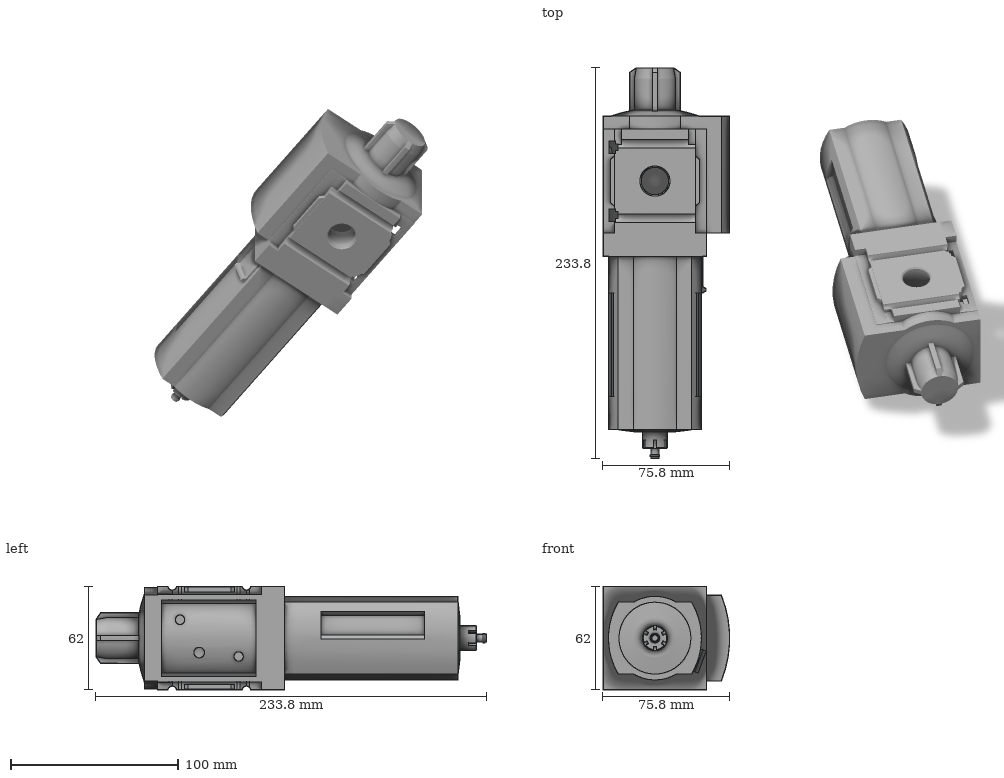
import cadquery as cq
import math


overall_length = 233.8
overall_width = 75.8

body_width = 62.0
half_body = body_width / 2
back_y = 84.0
shoulder_y = 76.2
frame_y = 14.0
frame_height = 26.2
plate_height = 25.7
block_half_width = 24.3
cover_edge_x = 39.7
cover_crown_x = overall_width - half_body

hump_half_width = 15.2
hump_crown_height = 30.5

port_y = 45.1
port_diameter = 16.4
port_rim_diameter = 18.0
port_rim_depth = 0.82
port_depth = 18.7

groove_radius = 2.5
groove_center_height = 31.3
groove_offset = 22.2
notch_inner_x = 20.0
notch_floor = 26.5
notch_front_y = 67.0

rib_height = 2.8
rib_drop = 0.5
rib_projection = 2.3
rib_half_length = 15.0
rib_taper = 2.0

clip_offset = 20.3
clip_width = 7.5
clip_outer_x = 27.4
clip_inner_x = 23.5
neck_width = 4.0
neck_inner_x = 22.0

window_half_height = 23.0
window_front_y = 17.0
window_rear_y = 73.6
core_radius = 29.2
core_edge_height = 20.8
core_bevel_run = 0.5
pin_diameter = 5.5
pin_end_x = -29.5
pin_length = 5.4
pin_height = 11.0
pin_offset = 17.5
core_hole_diameter = 6.3
core_hole_y = 51.2
core_hole_z = -8.7
core_hole_floor_x = -26.7

dome_apex_y = 88.5
dome_rim_radius = 26.7
dome_rise = dome_apex_y - back_y
dome_radius = (dome_rim_radius**2 + dome_rise**2) / (2 * dome_rise)
knob_radius = 12.5
knob_tip_radius = 11.2
knob_taper_y = 106.4
knob_end_y = 113.0
ridge_radius = 15.2
ridge_width = 3.0
ridge_chamfer_y = 110.1

bowl_end_y = -103.5
bowl_half_width = 27.8
bowl_flat_height = 21.5
bowl_corner_x = 22.0
bowl_crown_height = 25.0
bowl_crown_x = math.sqrt(bowl_crown_height**2 - bowl_flat_height**2)

sight_front_y = -83.7
sight_rear_y = -21.7
sight_floor_radius = 23.8
sight_top = 16.0
sight_bottom = -0.5
sight_wall_rise = 2.3
sight_ledge_x = -26.0

lever_top = (27.4, -6.5)
lever_tilt = 20
lever_height = 14.0
lever_root = 1.2
lever_thickness = 1.5
lever_end_y = -21.7
nub_start_y = -18.0
nub_thickness = 3.5
nub_slope_length = 1.2

cone_base_radius = 21.5
cone_tip_radius = 11.7
cone_base_y = -103.8
cone_tip_y = -105.0
boss_diameter = 15.0
boss_core_diameter = 10.0
boss_end_y = -114.8
boss_chamfer = 0.5
boss_slot_count = 6
boss_slot_width = 1.9
boss_slot_start_y = -110.0
stem_diameter = 5.0
stem_end_y = knob_end_y - overall_length
stem_bore_diameter = 3.7
stem_bore_depth = 2.3
collar_diameter = 5.5
collar_rear_y = -118.8
collar_front_y = -119.7


def block(x0, x1, y0, y1, z0, z1):
    """Box given by its two limits along each axis."""
    return cq.Workplane("XY").box(x1 - x0, y1 - y0, z1 - z0, centered=False).translate((x0, y0, z0))


def along_y(outline_y, length):
    """XZ sketch plane at outline_y, and the extrusion distance that carries it by length along +Y."""
    return cq.Workplane("XZ", origin=(0, outline_y, 0)), -length


def mirrored_in_z(shape):
    return shape.union(shape.mirror("XY"))


def turned(points):
    """Solid of revolution about Y from (radius, y) points."""
    return cq.Workplane("XY").polyline(points).close().revolve(360, (0, 0, 0), (0, 1, 0))


def make_housing_block():
    front = block(-half_body, half_body, 0, frame_y, -half_body, half_body)
    frames = block(-half_body, half_body, frame_y, shoulder_y, -frame_height, frame_height)
    center = block(-block_half_width, block_half_width, frame_y, shoulder_y, -half_body, half_body)
    return front.union(frames).union(center)


def make_rear_plate():
    depth = back_y - shoulder_y
    plate = block(-half_body, cover_edge_x, shoulder_y, back_y, -plate_height, plate_height)
    plane, length = along_y(shoulder_y, depth)
    hump = (
        plane.moveTo(-hump_half_width, plate_height)
        .threePointArc((0, hump_crown_height), (hump_half_width, plate_height))
        .lineTo(hump_half_width, -plate_height)
        .threePointArc((0, -hump_crown_height), (-hump_half_width, -plate_height))
        .close()
        .extrude(length)
    )
    return plate.union(hump)


def make_side_cover():
    plane, length = along_y(frame_y, back_y - frame_y)
    return (
        plane.moveTo(half_body, -plate_height)
        .lineTo(cover_edge_x, -plate_height)
        .threePointArc((cover_crown_x, 0), (cover_edge_x, plate_height))
        .lineTo(half_body, plate_height)
        .close()
        .extrude(length)
    )


def make_port():
    """Upper port with its chamfered rim."""
    drill = cq.Workplane("XY", origin=(0, port_y, half_body))
    bore = drill.circle(port_diameter / 2).extrude(-port_depth)
    rim = (
        drill.circle(port_rim_diameter / 2)
        .workplane(offset=-port_rim_depth)
        .circle(port_diameter / 2)
        .loft()
    )
    return bore.union(rim)


def make_groove(y):
    return (
        cq.Workplane("YZ", origin=(-block_half_width, y, groove_center_height))
        .circle(groove_radius)
        .extrude(2 * block_half_width)
    )


def make_notch(side):
    x0, x1 = sorted((side * notch_inner_x, side * block_half_width))
    return block(x0, x1, notch_front_y, shoulder_y, notch_floor, half_body)


def make_rib(side):
    """Tapered rib along the upper edge of the full-height block."""
    root = side * block_half_width
    tip = side * (block_half_width + rib_projection)
    tip_half_length = rib_half_length - rib_taper
    return (
        cq.Workplane("XY", origin=(0, port_y, half_body - rib_drop - rib_height))
        .polyline([
            (root, -rib_half_length),
            (tip, -tip_half_length),
            (tip, tip_half_length),
            (root, rib_half_length),
        ])
        .close()
        .extrude(rib_height)
    )


def make_clip_slot(y):
    """T-shaped slot through the left frame into the side window."""
    head = block(
        -clip_outer_x, -clip_inner_x, y - clip_width / 2, y + clip_width / 2,
        window_half_height, half_body,
    )
    neck = block(
        -clip_inner_x, -neck_inner_x, y - neck_width / 2, y + neck_width / 2,
        window_half_height, half_body,
    )
    return head.union(neck)


def make_side_window():
    """Recess in the left side around the cylindrical core."""
    edge_x = -math.sqrt(core_radius**2 - core_edge_height**2)
    bevel_x = edge_x - core_bevel_run
    plane, length = along_y(window_front_y, window_rear_y - window_front_y)
    return (
        plane.moveTo(-half_body, -window_half_height)
        .lineTo(bevel_x, -window_half_height)
        .lineTo(edge_x, -core_edge_height)
        .threePointArc((-core_radius, 0), (edge_x, core_edge_height))
        .lineTo(bevel_x, window_half_height)
        .lineTo(-half_body, window_half_height)
        .close()
        .extrude(length)
    )


def make_core_pin(y, z):
    return (
        cq.Workplane("YZ", origin=(pin_end_x, y, z))
        .circle(pin_diameter / 2)
        .extrude(pin_length)
    )


def make_core_hole():
    return (
        cq.Workplane("YZ", origin=(-half_body, core_hole_y, core_hole_z))
        .circle(core_hole_diameter / 2)
        .extrude(half_body + core_hole_floor_x)
    )


def dome_y(radius):
    """Y of the spherical dome at a distance from the axis."""
    return dome_apex_y - dome_radius + math.sqrt(dome_radius**2 - radius**2)


def make_dome():
    mid_radius = dome_rim_radius / 2
    return (
        cq.Workplane("XY")
        .moveTo(0, shoulder_y)
        .lineTo(dome_rim_radius, back_y)
        .threePointArc((mid_radius, dome_y(mid_radius)), (0, dome_apex_y))
        .close()
        .revolve(360, (0, 0, 0), (0, 1, 0))
    )


def make_knob():
    grip = turned([
        (0, back_y), (knob_radius, back_y), (knob_radius, knob_taper_y),
        (knob_tip_radius, knob_end_y), (0, knob_end_y),
    ])
    envelope = turned([
        (0, back_y), (ridge_radius, back_y), (ridge_radius, ridge_chamfer_y),
        (knob_tip_radius, knob_end_y), (0, knob_end_y),
    ])
    half_ridge = ridge_width / 2
    flat = block(-ridge_radius, ridge_radius, back_y, knob_end_y, -half_ridge, half_ridge)
    upright = flat.rotate((0, 0, 0), (0, 1, 0), 90)
    return grip.union(envelope.intersect(flat.union(upright)))


def make_housing():
    housing = make_housing_block().union(make_rear_plate()).union(make_side_cover())
    for side in (-1, 1):
        housing = housing.union(mirrored_in_z(make_rib(side)))
        housing = housing.cut(mirrored_in_z(make_notch(side)))
    housing = housing.cut(make_side_window())
    for side in (-1, 1):
        housing = housing.cut(mirrored_in_z(make_groove(port_y + side * groove_offset)))
        housing = housing.cut(mirrored_in_z(make_clip_slot(port_y + side * clip_offset)))
        housing = housing.union(make_core_pin(port_y + side * pin_offset, side * pin_height))
    housing = housing.cut(make_core_hole()).cut(mirrored_in_z(make_port()))
    return housing.union(make_dome()).union(make_knob())


def make_bowl_shell():
    plane, length = along_y(0, bowl_end_y)
    return (
        plane.moveTo(-bowl_corner_x, bowl_flat_height)
        .lineTo(-bowl_crown_x, bowl_flat_height)
        .threePointArc((0, bowl_crown_height), (bowl_crown_x, bowl_flat_height))
        .lineTo(bowl_corner_x, bowl_flat_height)
        .threePointArc((bowl_half_width, 0), (bowl_corner_x, -bowl_flat_height))
        .lineTo(bowl_crown_x, -bowl_flat_height)
        .threePointArc((0, -bowl_crown_height), (-bowl_crown_x, -bowl_flat_height))
        .lineTo(-bowl_corner_x, -bowl_flat_height)
        .threePointArc((-bowl_half_width, 0), (-bowl_corner_x, bowl_flat_height))
        .close()
        .extrude(length)
    )


def bowl_side_x(z):
    """Distance of the curved bowl side from the YZ plane at height z."""
    sagitta = bowl_half_width - bowl_corner_x
    radius = (bowl_flat_height**2 + sagitta**2) / (2 * sagitta)
    return bowl_half_width - radius + math.sqrt(radius**2 - z**2)


def make_sight_window():
    """Recess for the left sight glass, with a floor round about the axis and a ledge below it."""
    floor_top = sight_top - sight_wall_rise
    floor_bottom = sight_bottom + sight_wall_rise
    floor_middle = (floor_top + floor_bottom) / 2

    def floor_point(z):
        return (-math.sqrt(sight_floor_radius**2 - z**2), z)

    plane, length = along_y(sight_front_y, sight_rear_y - sight_front_y)
    return (
        plane.moveTo(-half_body, sight_bottom)
        .lineTo(-bowl_side_x(sight_bottom), sight_bottom)
        .lineTo(sight_ledge_x, floor_bottom)
        .lineTo(*floor_point(floor_bottom))
        .threePointArc(floor_point(floor_middle), floor_point(floor_top))
        .lineTo(-bowl_side_x(sight_top), sight_top)
        .lineTo(-half_body, sight_top)
        .close()
        .extrude(length)
    )


def make_lever():
    """Release lever on the right side: a tilted thin strip ending in a raised nub."""
    top_x, top_z = lever_top
    return (
        cq.Workplane("XY")
        .polyline([
            (-lever_root, 0),
            (lever_thickness, 0),
            (lever_thickness, nub_start_y),
            (nub_thickness, nub_start_y - nub_slope_length),
            (nub_thickness, lever_end_y + nub_slope_length),
            (lever_thickness, lever_end_y),
            (-lever_root, lever_end_y),
        ])
        .close()
        .extrude(-lever_height)
        .rotate((0, 0, 0), (0, 1, 0), lever_tilt)
        .translate((top_x, 0, top_z))
    )


def make_drain_boss():
    radius = boss_diameter / 2
    boss = turned([
        (0, bowl_end_y), (radius, bowl_end_y), (radius, boss_end_y + boss_chamfer),
        (radius - boss_chamfer, boss_end_y), (0, boss_end_y),
    ])
    slot = block(
        0, radius, boss_end_y, boss_slot_start_y,
        -boss_slot_width / 2, boss_slot_width / 2,
    )
    slots = cq.Workplane("XY")
    for i in range(boss_slot_count):
        angle = (i + 0.5) * 360 / boss_slot_count
        slots = slots.union(slot.rotate((0, 0, 0), (0, 1, 0), angle))
    plane, length = along_y(bowl_end_y, boss_end_y - bowl_end_y)
    core = plane.circle(boss_core_diameter / 2).extrude(length)
    return boss.cut(slots).union(core)


def make_drain_stem():
    stem_radius = stem_diameter / 2
    collar_radius = collar_diameter / 2
    stem = turned([
        (0, boss_end_y), (stem_radius, boss_end_y), (stem_radius, collar_rear_y),
        (collar_radius, collar_rear_y), (collar_radius, collar_front_y),
        (stem_radius, collar_front_y), (stem_radius, stem_end_y), (0, stem_end_y),
    ])
    plane, length = along_y(stem_end_y, stem_bore_depth)
    return stem.cut(plane.circle(stem_bore_diameter / 2).extrude(length))


def make_bowl():
    sight = make_sight_window()
    end_cone = turned([
        (0, bowl_end_y), (cone_base_radius, bowl_end_y), (cone_base_radius, cone_base_y),
        (cone_tip_radius, cone_tip_y), (0, cone_tip_y),
    ])
    bowl = make_bowl_shell().cut(sight).cut(sight.mirror("YZ"))
    return bowl.union(make_lever()).union(end_cone).union(make_drain_boss()).union(make_drain_stem())


housing = make_housing()
bowl = make_bowl()

result = cq.Compound.makeCompound([housing.val(), bowl.val()])